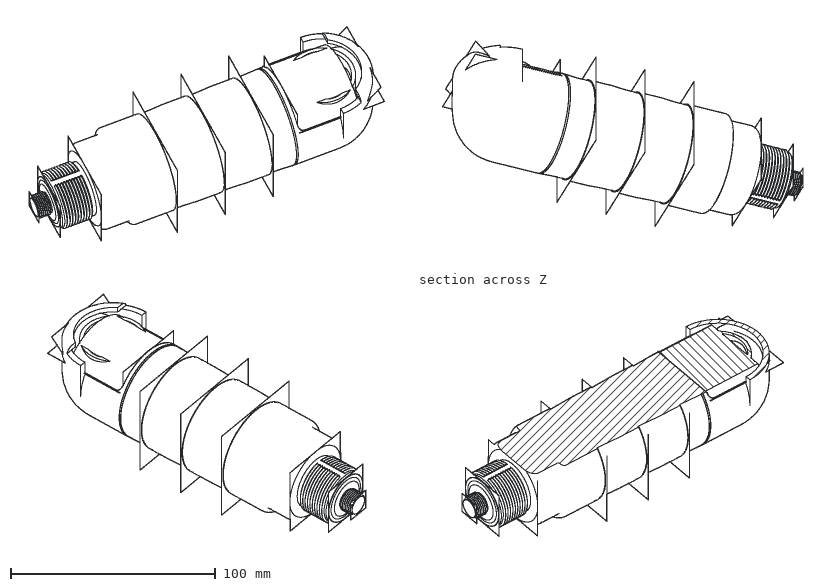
import cadquery as cq
import math


total_length = 180.05
barrel_radius = 25.2
band_end_radius = 24.7
neck_radius = 22.5
neck_start_y = 27.2
neck_fillet = 4.1
neck_root_y = 43.7
neck_root_fillet = 1.0
band_start_y = 65.1
band_edge_fillet = 1.5
shoulder_pitch = 25.75
taper_length = 13.6
taper_count = 3
groove_start_y = 129.7
groove_width = 0.9
groove_depth = 0.2

head_radius = barrel_radius
head_axis_y = total_length - head_radius
side_wall_top_z = 20.5
rim_top_z = 23.4
rim_fillet = 3.5
rim_inner_radius = 19.5
well_radius = 22.0

window_floor_z = 12.8
window_start_y = 132.9
window_corner_radius = 3.2
cap_radius = 24.8
cap_end_y = 165.5
ring_outer_radius = 16.5
ring_inner_radius = 14.5
ring_top_z = 20.6

thread_radius = 15.0
thread_root_radius = 14.0
thread_face_y = 8.0
thread_first_y = 10.2
thread_pitch = 1.5
thread_count = 10
thread_end_chamfer = 1.0
keyway_width = 3.4
keyway_floor = 13.9
seal_base_radius = 11.3
seal_tip_radius = 9.5
seal_height = 0.6

connector_radius = 6.0
connector_root_radius = 5.4
connector_pitch = 1.0
connector_first_y = 0.8
connector_count = 6
connector_chamfer = 0.6

flange_thickness = 0.1
flange_setback = 0.05
barrel_flange = 52.0
neck_flange = 38.7
nose_flange = 26.5
connector_flange = 11.7

window_wall_width = 39.0
floor_plate_width = 44.0
floor_plate_end_y = 178.4
miter_plate_width = 40.0
miter_top_z = 22.7

big = 2 * total_length


def box(x0, x1, y0, y1, z0, z1):
    """Block given by its limits along each axis."""
    return cq.Workplane("XY").box(x1 - x0, y1 - y0, z1 - z0, centered=False).translate((x0, y0, z0))


def rod(radius, y0, y1):
    """Cylinder along Y."""
    return cq.Workplane("XZ", origin=(0, y0, 0)).circle(radius).extrude(y0 - y1)


def post(radius, z0, z1):
    """Vertical cylinder on the head axis."""
    return cq.Workplane("XY", origin=(0, head_axis_y, z0)).circle(radius).extrude(z1 - z0)


def square_flange(side, face_y):
    """Thin square flange set back from the shoulder or end face at face_y."""
    front_y = face_y + flange_setback
    return box(-side / 2, side / 2, front_y, front_y + flange_thickness, -side / 2, side / 2)


def threaded_rod(root, crest, y0, y1, first_y, pitch, count, chamfer):
    """Rod with evenly spaced V-shaped thread rings, chamfered at its front end."""
    outline = cq.Workplane("XY").moveTo(0, y0).lineTo(root - chamfer, y0).lineTo(root, y0 + chamfer)
    for i in range(count):
        ring_y = first_y + i * pitch
        outline = outline.lineTo(root, ring_y)
        outline = outline.lineTo(crest, ring_y + pitch / 2)
    outline = outline.lineTo(root, first_y + count * pitch).lineTo(root, y1).lineTo(0, y1).close()
    return outline.revolve(360, (0, 0, 0), (0, 1, 0))


def barrel():
    """Neck, plain bands and tapered bands, turned about Y."""
    outline = cq.Workplane("XY").moveTo(0, neck_start_y)
    outline = outline.lineTo(neck_radius - neck_fillet, neck_start_y)
    outline = outline.radiusArc((neck_radius, neck_start_y + neck_fillet), -neck_fillet)
    outline = outline.lineTo(neck_radius, neck_root_y - neck_root_fillet)
    outline = outline.radiusArc((neck_radius + neck_root_fillet, neck_root_y), neck_root_fillet)
    outline = outline.lineTo(barrel_radius - band_edge_fillet, neck_root_y)
    outline = outline.radiusArc((barrel_radius, neck_root_y + band_edge_fillet), -band_edge_fillet)
    for i in range(taper_count):
        shoulder_y = band_start_y + i * shoulder_pitch
        outline = outline.lineTo(barrel_radius, shoulder_y)
        outline = outline.lineTo(band_end_radius, shoulder_y)
        outline = outline.lineTo(barrel_radius, shoulder_y + taper_length)
    outline = outline.lineTo(barrel_radius, head_axis_y).lineTo(0, head_axis_y).close()
    turned = outline.revolve(360, (0, 0, 0), (0, 1, 0))
    groove_end_y = groove_start_y + groove_width
    groove = rod(barrel_radius, groove_start_y, groove_end_y)
    groove = groove.cut(rod(barrel_radius - groove_depth, groove_start_y, groove_end_y))
    return turned.cut(groove)


def head():
    """Domed elbow: quarter sphere below, upright rimmed half-cylinder above."""
    rear = box(-big, big, head_axis_y, big, -big, big)
    below = box(-big, big, -big, big, -big, 0)
    dome = cq.Workplane("XY").sphere(head_radius).translate((0, head_axis_y, 0)).intersect(below)
    wall = post(head_radius, 0, rim_top_z).faces(">Z").edges().fillet(rim_fillet)
    wall = wall.cut(box(-big, big, -big, cap_end_y, side_wall_top_z, big))
    wall = wall.cut(post(well_radius, window_floor_z, side_wall_top_z))
    wall = wall.cut(post(rim_inner_radius, side_wall_top_z, big))
    return dome.union(wall).intersect(rear)


def window_space(end_y):
    """Space above the window floor, rounded where the floor meets the end wall."""
    space = box(-big, big, window_start_y, end_y, window_floor_z, big)
    return space.edges("|X and <Y and <Z").fillet(window_corner_radius)


def window_cap():
    """Curved cap over the window and the ring standing around the sensing axis."""
    shell = rod(cap_radius, window_start_y, cap_end_y).intersect(window_space(cap_end_y))
    ring = post(ring_outer_radius, window_floor_z, ring_top_z)
    ring = ring.cut(post(ring_inner_radius, window_floor_z, ring_top_z))
    return shell.union(ring)


def nose():
    """Mounting thread with two opposite keyways, sealing cone and connector thread."""
    mount = threaded_rod(thread_root_radius, thread_radius, thread_face_y, neck_start_y,
                         thread_first_y, thread_pitch, thread_count, thread_end_chamfer)
    keyway = box(-keyway_width / 2, keyway_width / 2, thread_face_y, neck_start_y, keyway_floor, thread_radius)
    for angle in (0, 180):
        mount = mount.cut(keyway.rotate((0, 0, 0), (0, 1, 0), angle))
    seal = (
        cq.Workplane("XY")
        .moveTo(0, thread_face_y)
        .lineTo(seal_base_radius, thread_face_y)
        .lineTo(seal_tip_radius, thread_face_y - seal_height)
        .lineTo(0, thread_face_y - seal_height)
        .close()
        .revolve(360, (0, 0, 0), (0, 1, 0))
    )
    connector = threaded_rod(connector_root_radius, connector_radius, 0, thread_face_y,
                             connector_first_y, connector_pitch, connector_count, connector_chamfer)
    return mount.union(seal).union(connector)


def flanges():
    """Thin square flanges on the step shoulders and end faces."""
    plates = [square_flange(barrel_flange, band_start_y + i * shoulder_pitch) for i in range(taper_count)]
    plates.append(square_flange(neck_flange, neck_start_y))
    plates.append(square_flange(nose_flange, thread_face_y))
    plates.append(square_flange(connector_flange, 0))
    return plates


def head_plates():
    """Thin plates on the window's end wall, on its floor and on the 45-degree miter."""
    half_wall = window_wall_width / 2
    end_wall = box(-half_wall, half_wall, window_start_y - flange_thickness, window_start_y,
                   window_floor_z, cap_radius)
    half_floor = floor_plate_width / 2
    floor = box(-half_floor, half_floor, window_start_y, floor_plate_end_y,
                window_floor_z - flange_thickness, window_floor_z)
    miter_length = miter_top_z * math.sqrt(2)
    miter = box(-miter_plate_width / 2, miter_plate_width / 2, 0, miter_length, 0, flange_thickness)
    miter = miter.rotate((0, 0, 0), (1, 0, 0), 45).translate((0, head_axis_y, 0))
    return [end_wall, floor, miter]


cap = window_cap()

housing = barrel().cut(window_space(head_axis_y)).union(head()).union(nose())
for plate in flanges() + head_plates():
    housing = housing.union(plate)
housing = housing.cut(cap)

result = cq.Compound.makeCompound([housing.val(), cap.val()])